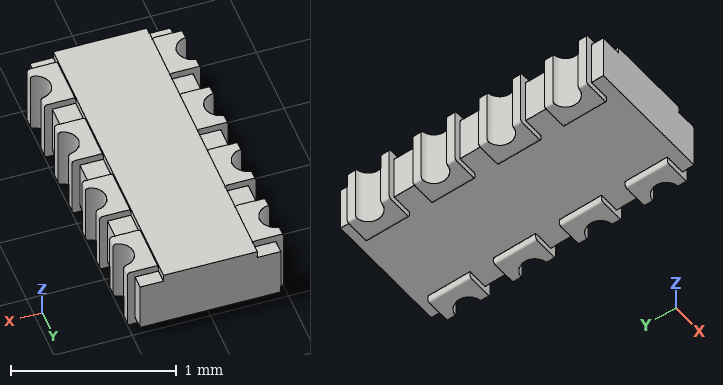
import cadquery as cq


part_width = 1.0
part_length = 2.0
part_height = 0.45

terminal_thickness = 0.05
terminal_length = 0.32
terminal_pitch = 0.5
terminals_per_side = 4
terminal_fillet = 0.02
notch_radius = 0.096

cover_width = 0.6

body_width = part_width - 2 * terminal_thickness
body_height = part_height - 2 * terminal_thickness
body_top = terminal_thickness + body_height

terminal_reach = (part_width - cover_width) / 2


def block(width, length, height, center_x, center_y, bottom):
    """Box centred on the given X and Y, standing on the given bottom level."""
    return (
        cq.Workplane("XY")
        .box(width, length, height, centered=(True, True, False))
        .translate((center_x, center_y, bottom))
    )


def make_body():
    return block(body_width, part_length, body_height, 0, 0, terminal_thickness)


def make_cover():
    return block(cover_width, part_length, terminal_thickness, 0, 0, body_top)


def make_terminal(side, center_y):
    """Terminal with rounded lengthwise edges; its core overlaps the body and merges with it."""
    center_x = side * (part_width - terminal_reach) / 2
    terminal = block(terminal_reach, terminal_length, part_height, center_x, center_y, 0)
    return terminal.edges("|Y").fillet(terminal_fillet)


def make_notch(side, center_y):
    """Vertical cylinder centred on the outer face of a terminal."""
    return (
        cq.Workplane("XY")
        .center(side * part_width / 2, center_y)
        .circle(notch_radius)
        .extrude(part_height)
    )


result = make_body().union(make_cover())
for side in (-1, 1):
    for index in range(terminals_per_side):
        terminal_y = (index - (terminals_per_side - 1) / 2) * terminal_pitch
        result = result.union(make_terminal(side, terminal_y))
        result = result.cut(make_notch(side, terminal_y))